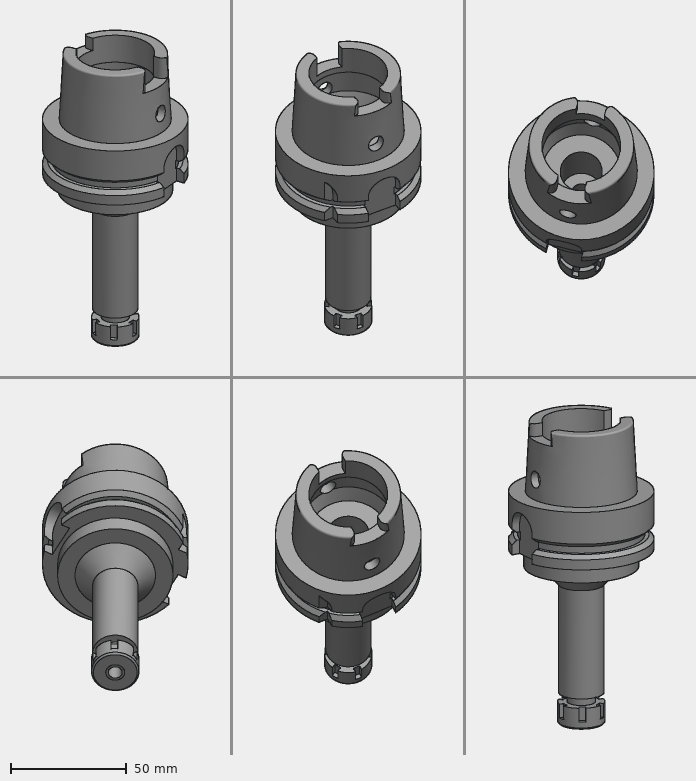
import cadquery as cq


height = 137.0
overlap = 1.4

shank_base_z = 105.1
shank_base_radius = 24.2
taper_ratio = 0.05
rim_fillet = 1.0

flange_radius = 31.5
flange_bottom_z = 79.0
groove_radius = 27.5
groove_bottom_z = 85.4
groove_top_z = 88.9
groove_chamfer_height = 1.8
groove_chamfer_depth = 2.2

collar_radius = 25.0
collar_bottom_z = 71.1
cone_top_radius = 17.4
cone_height = 8.2
stem_radius = 9.9
stem_top_z = collar_bottom_z - cone_height
stem_bottom_z = 13.8
neck_radius = 6.2
neck_bottom_z = 3.5

mouth_radius = 17.0
lip_bottom_z = 124.0
undercut_radius = 20.1
undercut_bottom_z = 111.2
mouth_floor_z = shank_base_z
thread_bore_radius = 9.0
thread_bore_floor_z = flange_bottom_z
center_bore_radius = 4.1

cross_hole_radius = 3.7
cross_hole_z = 114.1

key_slot_half_width = 6.3
key_slot_corner = 2.7
key_flat_x = 21.0
key_flat_half_width = 11.0
key_slot_floor_z = {-1: 131.1, 1: 127.0}

flange_slot_half_width = 8.0
flange_slot_floor_x = 26.6
flange_slot_top_z = 100.3

notch_floor_x = -20.4
notch_wall_y = 19.9
notch_arch_radius = 9.6
notch_top_z = flange_slot_top_z - flange_slot_half_width + notch_arch_radius

nut_radius = 10.3
nut_height = 9.7
nut_chamfer = 0.8
nut_slot_count = 6
nut_slot_width = 2.9
nut_slot_depth = 2.0
nut_slot_bottom_z = neck_bottom_z

collet_bore_radius = 3.0
collet_top_z = 17.8


def cylinder(radius, bottom_z, top_z):
    """Upright cylinder on the Z axis."""
    return cq.Workplane("XY").workplane(offset=bottom_z).circle(radius).extrude(top_z - bottom_z)


def holder_outside():
    """Turned outer shape of the holder."""
    rim_radius = shank_base_radius - taper_ratio * (height - shank_base_z)
    chamfered_radius = flange_radius - groove_chamfer_depth
    outline = [
        (0, neck_bottom_z),
        (neck_radius, neck_bottom_z),
        (neck_radius, stem_bottom_z),
        (stem_radius, stem_bottom_z),
        (stem_radius, stem_top_z),
        (cone_top_radius, collar_bottom_z),
        (collar_radius, collar_bottom_z),
        (collar_radius, flange_bottom_z),
        (flange_radius, flange_bottom_z),
        (flange_radius, groove_bottom_z - groove_chamfer_height),
        (chamfered_radius, groove_bottom_z),
        (groove_radius, groove_bottom_z),
        (groove_radius, groove_top_z),
        (chamfered_radius, groove_top_z),
        (flange_radius, groove_top_z + groove_chamfer_height),
        (flange_radius, shank_base_z),
        (shank_base_radius, shank_base_z),
        (rim_radius, height),
        (0, height),
    ]
    body = cq.Workplane("XZ").polyline(outline).close().revolve(360, (0, 0), (0, 1))
    return body.faces(">Z").edges().fillet(rim_fillet)


def holder_bore():
    """Stepped bore, with an undercut behind the lip that narrows in a cone to the mouth floor."""
    outline = [
        (0, neck_bottom_z - overlap),
        (center_bore_radius, neck_bottom_z - overlap),
        (center_bore_radius, thread_bore_floor_z),
        (thread_bore_radius, thread_bore_floor_z),
        (thread_bore_radius, mouth_floor_z),
        (mouth_radius, mouth_floor_z),
        (undercut_radius, undercut_bottom_z),
        (undercut_radius, lip_bottom_z),
        (mouth_radius, lip_bottom_z),
        (mouth_radius, height + overlap),
        (0, height + overlap),
    ]
    return cq.Workplane("XZ").polyline(outline).close().revolve(360, (0, 0), (0, 1))


def cross_hole():
    """Hole along X through both walls of the taper shank."""
    return (
        cq.Workplane("YZ")
        .center(0, cross_hole_z)
        .circle(cross_hole_radius)
        .extrude(flange_radius, both=True)
    )


def key_slot(side):
    """Slot through the rim that widens outward, round a rounded corner, into a flat."""
    corner_start_x = key_flat_x - key_slot_corner
    corner_end_y = key_slot_half_width + key_slot_corner
    floor_z = key_slot_floor_z[side]
    return (
        cq.Workplane("XY")
        .workplane(offset=floor_z)
        .moveTo(0, -key_slot_half_width)
        .lineTo(side * corner_start_x, -key_slot_half_width)
        .radiusArc((side * key_flat_x, -corner_end_y), side * key_slot_corner)
        .lineTo(side * key_flat_x, -key_flat_half_width)
        .lineTo(side * flange_radius, -key_flat_half_width)
        .lineTo(side * flange_radius, key_flat_half_width)
        .lineTo(side * key_flat_x, key_flat_half_width)
        .lineTo(side * key_flat_x, corner_end_y)
        .radiusArc((side * corner_start_x, key_slot_half_width), side * key_slot_corner)
        .lineTo(0, key_slot_half_width)
        .close()
        .extrude(height + overlap - floor_z)
    )


def arched_cutter(center_y, half_width, top_z, floor_x, side):
    """Round-topped cutter rising from the flange bottom and reaching outward from floor_x."""
    arch_center_z = top_z - half_width
    return (
        cq.Workplane("YZ")
        .workplane(offset=floor_x)
        .moveTo(center_y - half_width, flange_bottom_z)
        .lineTo(center_y - half_width, arch_center_z)
        .threePointArc((center_y, top_z), (center_y + half_width, arch_center_z))
        .lineTo(center_y + half_width, flange_bottom_z)
        .close()
        .extrude(side * flange_radius)
    )


def make_holder():
    body = holder_outside().cut(holder_bore()).cut(cross_hole())
    for side in (-1, 1):
        body = body.cut(key_slot(side))
        flange_slot = arched_cutter(
            0, flange_slot_half_width, flange_slot_top_z, side * flange_slot_floor_x, side
        )
        body = body.cut(flange_slot)
    notch_center_y = notch_wall_y + notch_arch_radius
    notch = arched_cutter(notch_center_y, notch_arch_radius, notch_top_z, notch_floor_x, -1)
    return body.cut(notch)


def make_nut():
    """Slotted cup that takes the neck of the holder and the lower end of the collet."""
    body = cylinder(nut_radius, 0, nut_height).faces("<Z").chamfer(nut_chamfer)
    body = body.cut(cylinder(neck_radius, neck_bottom_z, nut_height))
    body = body.cut(cylinder(center_bore_radius, 0, nut_height))
    slot_floor = nut_radius - nut_slot_depth
    slot = cq.Workplane("XY").box(
        nut_slot_depth + overlap, nut_slot_width, nut_height, centered=(False, True, False)
    ).translate((slot_floor, 0, nut_slot_bottom_z))
    for index in range(nut_slot_count):
        body = body.cut(slot.rotate((0, 0, 0), (0, 0, 1), index * 360 / nut_slot_count))
    return body


def make_collet():
    """Plain sleeve in the center bore of the holder and the nut."""
    return cylinder(center_bore_radius, 0, collet_top_z).cut(
        cylinder(collet_bore_radius, 0, collet_top_z)
    )


holder = make_holder()
nut = make_nut()
collet = make_collet()

result = cq.Compound.makeCompound([holder.val(), nut.val(), collet.val()])